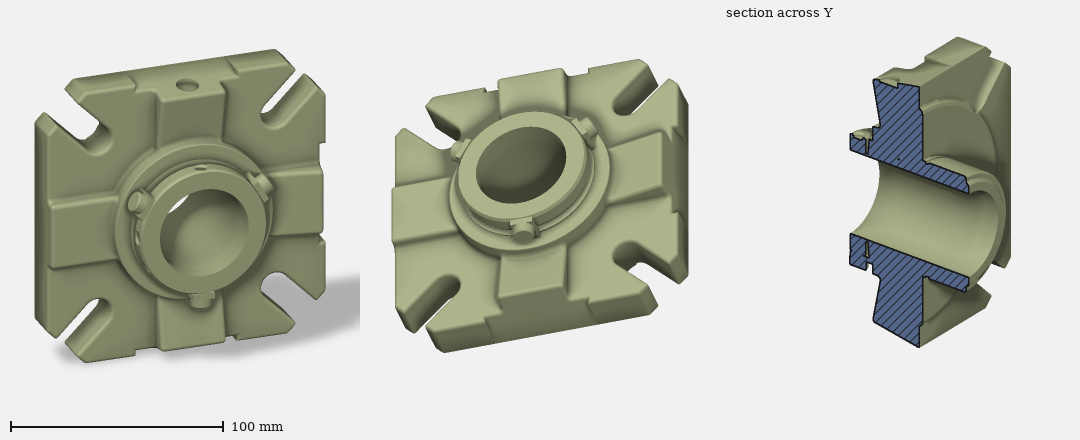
import cadquery as cq
import math


plate_size = 139.5
plate_thick = 17.8
rim_fillet = 1.7
corner_cut = 85.1
tip_fillet = 1.0
corner_fillet = 2.0

slot_radius = 7.0
slot_centre = 63.0
slot_angles = (45, 135, 225, 315)

hub_radius = 39.5
hub_end = 28.1
hub_rim_fillet = 0.6
block_half_width = 16.3
block_fillet = 2.0
straight_block_angle = 180
straight_block_height = 23.4
sloped_block_angles = (0, 90, 270)
sloped_block_low = (23.2, 40.2)
sloped_block_tip_x = 28.1
draft_angle = 10.1
drafted_half_width = 25.3

grease_port_diameter = 11.0
grease_port_x = 18.5
grease_port_depth = 1.8
grease_port_angle = 90

disc_face_radius = 111.12 / 2
disc_radius = 57.2
disc_face = -2.0
disc_chamfer = 0.5
disc_foot_radius = 1.7

bore_radius = 44.45 / 2
sleeve_start = -29.5
sleeve_shoulder = -28.0
sleeve_chamfer = (60.4 / 2, -27.1)
sleeve_radius = 62.23 / 2
sleeve_tip_radius = 52.96 / 2
sleeve_neck_radius = 56.39 / 2
groove_radius = 60.4 / 2
groove_start = -5.4
groove_end = -3.9

flinger_radius = 63.45 / 2
flinger_lip_radius = 64.97 / 2
flinger_lip_start = 29.4
flinger_lip_end = 30.0
flinger_end = 30.7
flinger_end_radius = 52.96 / 2
inner_ring_radius = 47.6 / 2

collar_start = 32.0
collar_end = 41.35
collar_radius = 63.45 / 2
collar_bevel_width = 1.6
collar_bevel_drop = 0.8
retainer_angles = (30, 150, 270)
retainer_inner = 31.5
retainer_outer = 34.4
retainer_width = 10.9
screw_head_diameter = 10.0
screw_head_x = 36.77
screw_head_top = 39.0
screw_head_bevel = 0.6

set_screw_angles = (90, 180, 210)
set_screw_diameter = 5.0
countersink_diameter = 7.3
set_screw_depth = 2.0
slotted_screw_angle = 180
driver_slot_width = 1.2
driver_slot_depth = 0.8

half_size = plate_size / 2
blank_half = 100.0
trim_height = 60.0
tolerance = 0.02
draft_slope = math.tan(math.radians(draft_angle))


def around(shape, angle):
    """Turn a shape about the shaft axis."""
    return shape.rotate((0, 0, 0), (1, 0, 0), angle)


def slab(x_y_points, half_width):
    """Prism with the given XY profile, centred on z = 0."""
    return cq.Workplane("XY").polyline(x_y_points).close().extrude(half_width, both=True)


def revolved(profile):
    """Solid of revolution about the shaft axis."""
    return profile.close().revolve(360, (0, 0, 0), (1, 0, 0))


def radial_cylinder(diameter, x, inner, outer):
    """Cylinder along +Y between two distances from the shaft axis."""
    return cq.Workplane("XZ", origin=(x, inner, 0)).circle(diameter / 2).extrude(inner - outer)


def larger_offset(point):
    return max(abs(point.y), abs(point.z))


def smaller_offset(point):
    return min(abs(point.y), abs(point.z))


def slot_cutter(start, length):
    """Round-ended bolt slot running outward along +Y."""
    base = cq.Workplane("YZ", origin=(start, 0, 0))
    closed_end = base.center(slot_centre, 0).circle(slot_radius).extrude(length)
    run = base.center(slot_centre + blank_half / 2, 0).rect(blank_half, 2 * slot_radius).extrude(length)
    return closed_end.union(run)


def outline_prism():
    """Plate outline with cut corners and bolt slots, used as a trimming shape."""
    prism = cq.Workplane("YZ").rect(plate_size, plate_size).extrude(trim_height)
    flats = cq.Workplane("YZ").rect(2 * corner_cut, 2 * corner_cut).extrude(trim_height)
    prism = prism.intersect(around(flats, slot_angles[0]))
    for angle in slot_angles:
        prism = prism.cut(around(slot_cutter(0, trim_height), angle))

    tip_distance = math.hypot(corner_cut, slot_radius) - tolerance
    tips = [edge for edge in prism.edges("|X").vals()
            if math.hypot(edge.Center().y, edge.Center().z) > tip_distance
            and larger_offset(edge.Center()) < half_size - tolerance]
    prism = prism.newObject(tips).fillet(tip_fillet)
    corners = [edge for edge in prism.edges("|X").vals()
               if larger_offset(edge.Center()) > half_size - tolerance]
    return prism.newObject(corners).fillet(corner_fillet)


def straight_block():
    inner = hub_radius / 2
    return slab([(0, inner), (0, blank_half), (straight_block_height, blank_half),
                 (straight_block_height, inner)], block_half_width)


def sloped_block():
    """Block whose outer face rises from the hub towards its drafted end."""
    low_x, low_y = sloped_block_low
    tip_y = half_size - sloped_block_tip_x * draft_slope
    rise = (sloped_block_tip_x - low_x) / (tip_y - low_y)
    inner = hub_radius / 2
    inner_x = low_x - rise * (low_y - inner)
    outer_x = low_x + rise * (blank_half - low_y)
    return slab([(0, inner), (0, blank_half), (outer_x, blank_half), (inner_x, inner)], block_half_width)


def draft_cutter():
    """Material outside the drafted middle of a plate side."""
    end_y = half_size - trim_height * draft_slope
    outer = 2 * blank_half
    return slab([(0, half_size), (trim_height, end_y), (trim_height, outer), (0, outer)], drafted_half_width)


def is_block_edge(edge):
    """Edges of the blocks and the corners where blocks and hub meet the plate."""
    box = edge.BoundingBox()
    above_plate = box.xmin > plate_thick - tolerance
    on_hub_rim = abs(box.xmax - hub_end) < tolerance
    return above_plate and not on_hub_rim and larger_offset(edge.Center()) < blank_half - 1


def is_rim_edge(edge):
    """Edges around the outline of the plate front and of the block ends."""
    slot_reach = slot_centre * math.cos(math.radians(slot_angles[0])) - slot_radius - tolerance

    def on_rim(point):
        on_side = larger_offset(point) > half_size - point.x * draft_slope - tolerance
        return on_side or smaller_offset(point) > slot_reach

    in_front = edge.BoundingBox().xmin > plate_thick - tolerance
    return in_front and all(on_rim(point) for point in edge.positions([0, 0.5, 1]))


def make_housing():
    housing = cq.Workplane("YZ").rect(2 * blank_half, 2 * blank_half).extrude(plate_thick)
    housing = housing.union(cq.Workplane("YZ").circle(hub_radius).extrude(hub_end))
    for angle in sloped_block_angles:
        housing = housing.union(around(sloped_block(), angle))
    housing = housing.union(around(straight_block(), straight_block_angle))
    block_edges = [edge for edge in housing.edges().vals() if is_block_edge(edge)]
    housing = housing.newObject(block_edges).fillet(block_fillet)

    housing = housing.intersect(outline_prism())
    for angle in sloped_block_angles:
        housing = housing.cut(around(draft_cutter(), angle))
    rim_edges = [edge for edge in housing.edges().vals() if is_rim_edge(edge)]
    housing = housing.newObject(rim_edges).fillet(rim_fillet)

    hub_rim = [edge for edge in housing.edges("%CIRCLE").vals()
               if abs(edge.Center().x - hub_end) < tolerance]
    housing = housing.newObject(hub_rim).fillet(hub_rim_fillet)

    port_floor = half_size - grease_port_x * draft_slope - grease_port_depth
    port = radial_cylinder(grease_port_diameter, grease_port_x, port_floor, half_size)
    return housing.cut(around(port, grease_port_angle))


def make_disc():
    """Disc on the mounting face, with a hollow foot, cleared for the bolt slots."""
    rim_x = disc_face + disc_chamfer
    foot_centre = disc_radius + disc_foot_radius
    bulge = disc_foot_radius * math.cos(math.radians(45))
    profile = (
        cq.Workplane("XY").moveTo(0, 0).lineTo(disc_face, 0).lineTo(disc_face, disc_face_radius)
        .lineTo(rim_x, disc_radius)
        .threePointArc((bulge - disc_foot_radius, foot_centre - bulge), (0, foot_centre))
    )
    disc = revolved(profile)
    for angle in slot_angles:
        disc = disc.cut(around(slot_cutter(disc_face, -disc_face), angle))
    return disc


def make_sleeve():
    chamfer_radius, chamfer_end = sleeve_chamfer
    return revolved(cq.Workplane("XY").polyline([
        (0, 0), (sleeve_start, 0), (sleeve_start, sleeve_tip_radius),
        (sleeve_shoulder, sleeve_neck_radius), (sleeve_shoulder, chamfer_radius),
        (chamfer_end, sleeve_radius), (groove_start, sleeve_radius), (groove_start, groove_radius),
        (groove_end, groove_radius), (groove_end, sleeve_radius), (0, sleeve_radius),
    ]))


def make_flinger_and_ring():
    return revolved(cq.Workplane("XY").polyline([
        (plate_thick, 0), (plate_thick, flinger_radius), (flinger_lip_start, flinger_radius),
        (flinger_lip_start, flinger_lip_radius), (flinger_lip_end, flinger_lip_radius),
        (flinger_end, flinger_end_radius), (flinger_end, inner_ring_radius),
        (collar_end, inner_ring_radius), (collar_end, 0),
    ]))


def set_screw_recess():
    """Countersunk recess in the collar rim, pointing along +Y."""
    middle_x = (collar_start + collar_end) / 2
    hole = radial_cylinder(set_screw_diameter, middle_x, collar_radius - set_screw_depth, collar_radius)
    sink_depth = (countersink_diameter - set_screw_diameter) / 2
    sink = radial_cylinder(countersink_diameter, middle_x, collar_radius - sink_depth, collar_radius)
    return hole.union(sink.faces("<Y").chamfer(sink_depth - tolerance))


def driver_slot():
    middle_x = (collar_start + collar_end) / 2
    floor = collar_radius - set_screw_depth
    slot = radial_cylinder(set_screw_diameter, middle_x, floor - driver_slot_depth, floor)
    width = cq.Workplane("XY").box(driver_slot_width, 2 * floor, set_screw_diameter)
    return slot.intersect(width.translate((middle_x, floor, 0)))


def retainer():
    """Plate bridging the hub face and the collar, held by a cap screw."""
    plate = slab([(hub_end, retainer_inner), (collar_end, retainer_inner),
                  (collar_end, retainer_outer), (hub_end, retainer_outer)], retainer_width / 2)
    head = radial_cylinder(screw_head_diameter, screw_head_x, retainer_outer, screw_head_top)
    return plate.union(head.faces(">Y").chamfer(screw_head_bevel))


def make_collar():
    edge_radius = collar_radius - collar_bevel_drop
    collar = revolved(cq.Workplane("XY").polyline([
        (collar_start, 0), (collar_start, edge_radius),
        (collar_start + collar_bevel_width, collar_radius),
        (collar_end - collar_bevel_width, collar_radius),
        (collar_end, edge_radius), (collar_end, 0),
    ]))
    for angle in set_screw_angles:
        collar = collar.cut(around(set_screw_recess(), angle))
    collar = collar.cut(around(driver_slot(), slotted_screw_angle))
    for angle in retainer_angles:
        collar = collar.union(around(retainer(), angle))
    return collar


def make_bore():
    length = collar_end - sleeve_start
    return cq.Workplane("YZ", origin=(sleeve_start, 0, 0)).circle(bore_radius).extrude(length)


result = make_housing().union(make_disc()).union(make_sleeve())
result = result.union(make_flinger_and_ring()).union(make_collar())
result = result.cut(make_bore())